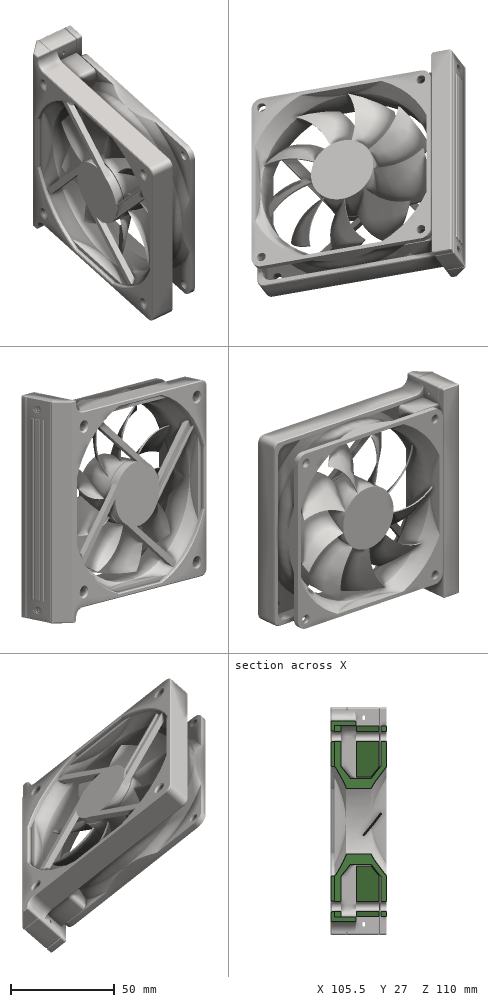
import cadquery as cq
import math


DEPTH = 27.0

FAN_SIZE = 92.0
FAN_THICKNESS = 25.0
FLANGE_THICKNESS = 3.0
FLANGE_CORNER_RADIUS = 5.0
DUCT_DIAMETER = 87.9
DUCT_OUTER_DIAMETER = 92.0
FLARE_MOUTH_RADIUS = 48.7
FLARE_LENGTH = 7.5
FRONT_MOUTH_LENGTH = 5.5
MOUTH_HALF_WIDTH = 44.0
HOLE_SPACING = 82.0
FAN_HOLE_DIAMETER = 4.5
HUB_DIAMETER = 32.0
STATOR_HUB_THICKNESS = 4.5

STRUT_COUNT = 4
STRUT_THICKNESS = 3.0
STRUT_TILT = 40.0
STRUT_HUB_OFFSET = 15.7
STRUT_RIM_OFFSET = 14.7
STRUT_HUB_WIDTH = 2.8
STRUT_RIM_WIDTH = 3.4
STRUT_HUB_END = 3.0
STRUT_RIM_END = 46.5
CABLE_STRUT_WIDTH = 5.4
CABLE_STRUT_INDEX = 3
CABLE_LIP = 0.8
CABLE_CHANNEL_DEPTH = 1.0

BLADE_COUNT = 9
BLADE_TIP_RADIUS = 41.6
BLADE_ROOT_RADIUS = 14.5
BLADE_THICKNESS = 1.0
BLADE_TIP_ANGLE = 133.8
REAR_EDGE_SWEEP = 13.0
FRONT_EDGE_SWEEP = 22.5
TIP_CHORD_ANGLE = 26.5
BLADE_FRONT_Y = 9.2
BLADE_BACK_Y = 24.0
BLADE_GRID_STEPS = 8
ROTOR_GAP = 0.5
ROTOR_BACK_Y = 25.5

BEZEL_SIZE = 97.0
BEZEL_DEPTH = 12.2
BEZEL_PLATE = DEPTH - FAN_THICKNESS
BEZEL_CORNER_RADIUS = 3.5
BEZEL_HOLE_DIAMETER = 4.8
BEZEL_COUNTERSINK_DIAMETER = 6.2
OPENING_RADIUS = 48.7
OPENING_HALF_WIDTH = 46.2
EDGE_CHAMFER = 0.4

BAR_LEFT = -56.5
BAR_RIGHT = -46.4
BAR_LENGTH = 110.0
BAR_BEVEL = 6.9
BAR_ROUND = 1.0
BAR_FILLET = 4.8
FRONT_SEAM_Y = 7.75
BACK_SEAM_Y = 23.45

GRIP_LENGTH = 89.5
GRIP_WIDTH = 8.2
GRIP_HEIGHT = 0.5
GRIP_CHAMFER = 0.3
GRIP_CENTRE_Y = 16.0
GRIP_GROOVE_OFFSET = 2.0
GRIP_GROOVE_WIDTH = 1.2
SLOT_Z = 49.8
SLOT_LENGTH = 5.9
SLOT_WIDTH = 3.4
SLOT_DEPTH = 0.3
BORE_DEPTH = 0.8
SIGHT_HOLE_WIDTH = 1.2
SIGHT_HOLE_HEIGHT = 2.2

LUG_RIGHT = -30.5
LUG_CORNER_RADIUS = 2.0
LUG_CLEARANCE = 0.2

FAN_FRONT_Y = BEZEL_PLATE
BACK_FLANGE_Y = DEPTH - FLANGE_THICKNESS
DUCT_RADIUS = DUCT_DIAMETER / 2
DUCT_OUTER_RADIUS = DUCT_OUTER_DIAMETER / 2
HUB_RADIUS = HUB_DIAMETER / 2
FLARE_SLOPE = (FLARE_MOUTH_RADIUS - DUCT_RADIUS) / FLARE_LENGTH
HALF_BAR = BAR_LENGTH / 2
HALF_BEZEL = BEZEL_SIZE / 2
HOLE_OFFSET = HOLE_SPACING / 2
HOLE_CENTRES = [(x, z) for x in (-HOLE_OFFSET, HOLE_OFFSET) for z in (-HOLE_OFFSET, HOLE_OFFSET)]
DUCT_WALL = DUCT_OUTER_RADIUS - DUCT_RADIUS


def plane_at(y):
    """Plane across the fan axis; a negative extrusion goes toward the back."""
    return cq.Workplane("XZ", origin=(0, y, 0))


def disc(radius, y0, y1):
    return plane_at(y0).circle(radius).extrude(y0 - y1)


def slab(width, height, y0, y1, x=0.0, z=0.0):
    return plane_at(y0).center(x, z).rect(width, height).extrude(y0 - y1)


def cone(radius0, y0, radius1, y1):
    profile = cq.Workplane("XY").polyline([(0, y0), (radius0, y0), (radius1, y1), (0, y1)]).close()
    return profile.revolve(360, (0, 0, 0), (0, 1, 0))


def corner_holes(diameter, y0, y1):
    return plane_at(y0).pushPoints(HOLE_CENTRES).circle(diameter / 2).extrude(y0 - y1)


def bar_slab(y0, y1):
    """Full-length slice of the side bar with rounded ends on its fan side."""
    width = BAR_RIGHT - BAR_LEFT
    bar = slab(width, BAR_LENGTH, y0, y1, x=(BAR_LEFT + BAR_RIGHT) / 2)
    return bar.edges("|Y and >X").fillet(BAR_ROUND)


def bezel_outline():
    """Square panel with the taller bar along its left side."""
    step_z = HALF_BEZEL + BAR_FILLET
    fillet_x = BAR_RIGHT + BAR_FILLET
    arc_inset = BAR_FILLET * (1 - math.sqrt(0.5))
    upper_fillet = (BAR_RIGHT + arc_inset, HALF_BEZEL + arc_inset)
    lower_fillet = (BAR_RIGHT + arc_inset, -HALF_BEZEL - arc_inset)
    outline = (
        plane_at(0)
        .moveTo(BAR_LEFT, -HALF_BAR)
        .lineTo(BAR_RIGHT, -HALF_BAR)
        .lineTo(BAR_RIGHT, -step_z)
        .threePointArc(lower_fillet, (fillet_x, -HALF_BEZEL))
        .lineTo(HALF_BEZEL, -HALF_BEZEL)
        .lineTo(HALF_BEZEL, HALF_BEZEL)
        .lineTo(fillet_x, HALF_BEZEL)
        .threePointArc(upper_fillet, (BAR_RIGHT, step_z))
        .lineTo(BAR_RIGHT, HALF_BAR)
        .lineTo(BAR_LEFT, HALF_BAR)
        .close()
    )
    solid = outline.extrude(-BEZEL_DEPTH)
    solid = solid.edges("|Y and >X").fillet(BEZEL_CORNER_RADIUS)
    bar_side = cq.selectors.BoxSelector(
        (BAR_RIGHT - BAR_ROUND, 0, -BAR_LENGTH), (BAR_RIGHT + BAR_ROUND, DEPTH, BAR_LENGTH)
    )
    return solid.edges("|Y").edges(bar_side).edges(">Z or <Z").fillet(BAR_ROUND)


def bezel_opening():
    """Round opening trimmed by four flats, with a chamfered front edge."""
    flats = 2 * OPENING_HALF_WIDTH
    opening = disc(OPENING_RADIUS, 0, BEZEL_PLATE).intersect(slab(flats, flats, 0, BEZEL_PLATE))
    flare_flats = flats + 2 * EDGE_CHAMFER
    flare = cone(OPENING_RADIUS + EDGE_CHAMFER, 0, OPENING_RADIUS, EDGE_CHAMFER)
    pyramid = plane_at(0).rect(flare_flats, flare_flats).extrude(-EDGE_CHAMFER, taper=45)
    return opening.union(flare.intersect(pyramid))


def make_bezel():
    body = bezel_outline().faces("<Y").chamfer(EDGE_CHAMFER)
    body = body.faces(">Y").edges().chamfer(EDGE_CHAMFER)
    bar_width = BAR_RIGHT - BAR_LEFT
    behind_seam = slab(bar_width, 2 * BAR_LENGTH, FRONT_SEAM_Y, DEPTH, x=BAR_LEFT + bar_width / 2)
    body = body.cut(behind_seam)
    bevel = (
        cq.Workplane("XY", origin=(0, 0, -HALF_BAR))
        .polyline([(BAR_LEFT, 0), (BAR_LEFT + BAR_BEVEL, 0), (BAR_LEFT, BAR_BEVEL)])
        .close()
        .extrude(BAR_LENGTH)
    )
    body = body.cut(bevel)
    bevel_face = body.faces(cq.selectors.DirectionMinMaxSelector(cq.Vector(-1, -1, 0)))
    body = bevel_face.edges(">Z or <Z").chamfer(EDGE_CHAMFER)
    pocket = slab(FAN_SIZE, FAN_SIZE, BEZEL_PLATE, DEPTH).edges("|Y").fillet(FLANGE_CORNER_RADIUS)
    body = body.cut(pocket).cut(bezel_opening())
    body = body.cut(corner_holes(BEZEL_HOLE_DIAMETER, 0, BEZEL_PLATE))
    sink_depth = (BEZEL_COUNTERSINK_DIAMETER - BEZEL_HOLE_DIAMETER) / 2
    sink = plane_at(0).pushPoints(HOLE_CENTRES).circle(BEZEL_COUNTERSINK_DIAMETER / 2)
    return body.cut(sink.extrude(-sink_depth, taper=45))


def grip_strip():
    strip = (
        cq.Workplane("YZ", origin=(BAR_LEFT, 0, 0))
        .center(GRIP_CENTRE_Y, 0)
        .rect(GRIP_WIDTH, GRIP_LENGTH)
        .extrude(-GRIP_HEIGHT)
    )
    strip = strip.faces("<X").edges("|Z").chamfer(GRIP_CHAMFER)
    grooves = (
        cq.Workplane("YZ", origin=(BAR_LEFT, 0, 0))
        .pushPoints([(GRIP_CENTRE_Y + side * GRIP_GROOVE_OFFSET, 0) for side in (-1, 1)])
        .rect(GRIP_GROOVE_WIDTH, GRIP_LENGTH)
        .extrude(-GRIP_HEIGHT)
    )
    return strip.cut(grooves)


def side_screw_slots():
    centres = [(GRIP_CENTRE_Y, z) for z in (-SLOT_Z, SLOT_Z)]
    face = cq.Workplane("YZ", origin=(BAR_LEFT, 0, 0)).pushPoints(centres)
    slots = face.slot2D(SLOT_LENGTH, SLOT_WIDTH).extrude(SLOT_DEPTH)
    bores = face.circle(SLOT_WIDTH / 2).extrude(BORE_DEPTH)
    sight_holes = face.slot2D(SIGHT_HOLE_HEIGHT, SIGHT_HOLE_WIDTH, 90).extrude(BAR_RIGHT - BAR_LEFT)
    return slots.union(bores).union(sight_holes)


def corner_lugs():
    """Two lugs that reach from the bar into the corners behind the front flange."""
    width = LUG_RIGHT - BAR_RIGHT
    lugs = slab(width, FAN_SIZE, BEZEL_DEPTH, BACK_SEAM_Y, x=BAR_RIGHT + width / 2)
    lugs = lugs.edges("|Y and >X").fillet(LUG_CORNER_RADIUS)
    flare_y = DEPTH - FLARE_LENGTH
    duct_radius = DUCT_OUTER_RADIUS + LUG_CLEARANCE
    flare_radius = duct_radius + FLARE_SLOPE * FLARE_LENGTH
    duct = disc(duct_radius, 0, DEPTH).union(cone(duct_radius, flare_y, flare_radius, DEPTH))
    return lugs.cut(duct).cut(corner_holes(FAN_HOLE_DIAMETER, 0, DEPTH))


def make_grip_bar():
    bar = bar_slab(FRONT_SEAM_Y, BACK_SEAM_Y)
    bar = bar.faces("<X or <Y or >Y").edges().chamfer(EDGE_CHAMFER)
    return bar.union(grip_strip()).union(corner_lugs()).cut(side_screw_slots())


def make_back_bar():
    bar = bar_slab(BACK_SEAM_Y, DEPTH)
    return bar.faces("<X or <Y or >Y").edges().chamfer(EDGE_CHAMFER)


def flange(y0):
    plate = slab(FAN_SIZE, FAN_SIZE, y0, y0 + FLANGE_THICKNESS)
    return plate.edges("|Y").fillet(FLANGE_CORNER_RADIUS)


def strut_bar(hub_width, rim_width, y0, y1, inset=0.0):
    """Tapered bar beside the fan axis, along X before it is tilted; the inset narrows both sides."""
    return (
        plane_at(y0)
        .polyline([
            (STRUT_HUB_END, STRUT_HUB_OFFSET - inset),
            (-STRUT_RIM_END, STRUT_RIM_OFFSET - inset),
            (-STRUT_RIM_END, STRUT_RIM_OFFSET - rim_width + inset),
            (STRUT_HUB_END, STRUT_HUB_OFFSET - hub_width + inset),
        ])
        .close()
        .extrude(y0 - y1)
    )


def plain_strut():
    return strut_bar(STRUT_HUB_WIDTH, STRUT_RIM_WIDTH, FAN_FRONT_Y, FAN_FRONT_Y + STRUT_THICKNESS)


def cable_strut():
    """Wider strut with a channel for the motor cable along its front."""
    width = CABLE_STRUT_WIDTH
    floor_y = FAN_FRONT_Y + CABLE_CHANNEL_DEPTH
    strut = strut_bar(width, width, FAN_FRONT_Y, FAN_FRONT_Y + STRUT_THICKNESS)
    return strut.cut(strut_bar(width, width, FAN_FRONT_Y, floor_y, inset=CABLE_LIP))


def make_fan_frame():
    front_flare_y = FAN_FRONT_Y + FLARE_LENGTH
    front_mouth_y = FAN_FRONT_Y + FRONT_MOUTH_LENGTH
    back_flare_y = DEPTH - FLARE_LENGTH
    outer_mouth = FLARE_MOUTH_RADIUS + DUCT_WALL
    shell = disc(DUCT_OUTER_RADIUS, FAN_FRONT_Y, DEPTH)
    shell = shell.union(cone(outer_mouth, FAN_FRONT_Y, DUCT_OUTER_RADIUS, front_flare_y))
    shell = shell.union(cone(DUCT_OUTER_RADIUS, back_flare_y, outer_mouth, DEPTH))
    shell = shell.intersect(slab(FAN_SIZE, FAN_SIZE, 0, DEPTH))
    frame = shell.union(flange(FAN_FRONT_Y)).union(flange(BACK_FLANGE_Y))

    mouths = cone(FLARE_MOUTH_RADIUS, FAN_FRONT_Y, DUCT_RADIUS, front_mouth_y)
    mouths = mouths.union(cone(DUCT_RADIUS, back_flare_y, FLARE_MOUTH_RADIUS, DEPTH))
    mouths = mouths.intersect(slab(2 * MOUTH_HALF_WIDTH, 2 * MOUTH_HALF_WIDTH, 0, DEPTH))
    frame = frame.cut(disc(DUCT_RADIUS, 0, DEPTH)).cut(mouths)
    frame = frame.cut(corner_holes(FAN_HOLE_DIAMETER, 0, DEPTH))

    spider = disc(HUB_RADIUS, FAN_FRONT_Y, FAN_FRONT_Y + STATOR_HUB_THICKNESS)
    for index in range(STRUT_COUNT):
        strut = cable_strut() if index == CABLE_STRUT_INDEX else plain_strut()
        angle = STRUT_TILT - index * 360 / STRUT_COUNT
        spider = spider.union(strut.rotate((0, 0, 0), (0, 1, 0), angle))
    return frame.union(spider)


def blade_point(span, chord):
    """Point on the blade: span 0..1 from root to tip, chord 0..1 from rear to front edge."""
    radius = BLADE_ROOT_RADIUS + span * (BLADE_TIP_RADIUS - BLADE_ROOT_RADIUS)
    rear_angle = REAR_EDGE_SWEEP * (1 - span ** 2)
    front_angle = TIP_CHORD_ANGLE + FRONT_EDGE_SWEEP * (1 - span ** 1.5)
    angle = math.radians(BLADE_TIP_ANGLE + rear_angle + chord * (front_angle - rear_angle))
    y = BLADE_BACK_Y + chord * (BLADE_FRONT_Y - BLADE_BACK_Y)
    return cq.Vector(radius * math.cos(angle), y, radius * math.sin(angle))


def make_rotor():
    fractions = [step / BLADE_GRID_STEPS for step in range(BLADE_GRID_STEPS + 1)]
    grid = [[blade_point(span, chord) for chord in fractions] for span in fractions]
    surface = cq.Face.makeSplineApprox(grid)
    blade = cq.Workplane(cq.Solid.extrudeLinear(surface, cq.Vector(0, BLADE_THICKNESS, 0)))
    front = FAN_FRONT_Y + STATOR_HUB_THICKNESS + ROTOR_GAP
    rotor = disc(HUB_RADIUS, front, ROTOR_BACK_Y)
    for index in range(BLADE_COUNT):
        rotor = rotor.union(blade.rotate((0, 0, 0), (0, 1, 0), index * 360 / BLADE_COUNT))
    return rotor


bezel = make_bezel()
grip_bar = make_grip_bar()
back_bar = make_back_bar()
fan_frame = make_fan_frame()
rotor = make_rotor()

result = cq.Compound.makeCompound([
    bezel.val(),
    grip_bar.val(),
    back_bar.val(),
    fan_frame.val(),
    rotor.val(),
])